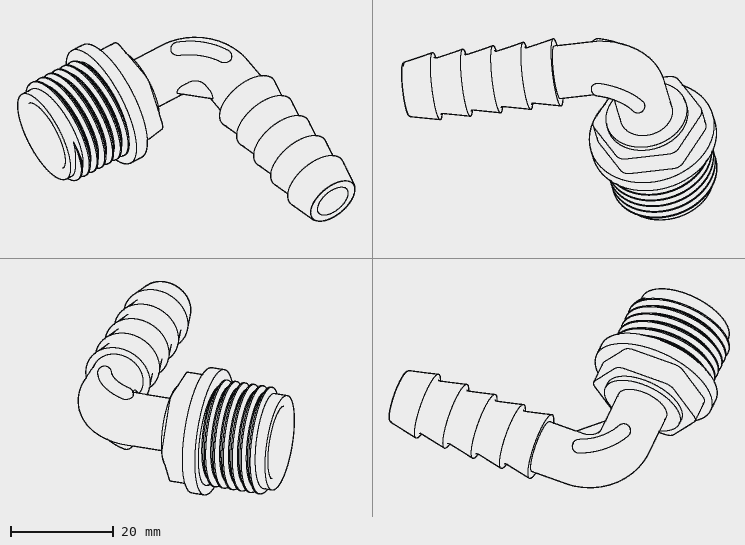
import cadquery as cq
import math


SPIGOT_RADIUS = 9.35
SPIGOT_BORE_RADIUS = 7.1
SPIGOT_BORE_ROUND = 0.5
FLANGE_DIAMETER = 24.8
FLANGE_RADIUS = FLANGE_DIAMETER / 2
FLANGE_START = 13.4
HEX_START = 15.95
COLLAR_START = 20.6
COLLAR_END = 21.65
COLLAR_RADIUS = 8.05
SPIGOT_BORE_DEPTH = COLLAR_END - (SPIGOT_RADIUS - SPIGOT_BORE_RADIUS)

HEX_ACROSS_FLATS = 19.25
HEX_CORNER_ROUND = 2.3

THREAD_CREST_RADIUS = 10.5
THREAD_PITCH = 1.8
THREAD_START = 1.9
THREAD_TURNS = 7
THREAD_BASE_WIDTH = 1.7
THREAD_CREST_WIDTH = 0.3
THREAD_ROOT_RADIUS = 9.2
RUNOUT_ANGLE = 34
RUNOUT_STEPS = 2
RUNOUT_END_SCALE = 0.05

TUBE_RADIUS = 5.2
TUBE_BORE_RADIUS = 3.6
BEND_RADIUS = 7.4
OUTLET_Y = 37.9

OVERALL_LENGTH = 56.95
OUTLET_END = OVERALL_LENGTH - FLANGE_RADIUS
BARB_COUNT = 5
BARB_PITCH = 6.0
BARB_RADIUS = 6.6
BARB_NECK_RADIUS = 5.45
BARB_CONE_LENGTH = 5.3
BARB_ROUND = 0.5
BARB_START = OUTLET_END - BARB_COUNT * BARB_PITCH

RIDGE_RADIUS = 1.35
RIDGE_ARC_RADIUS = 11.95
RIDGE_ARC_CENTRE = 11.0
RIDGE_MID_ANGLE = 135
RIDGE_HALF_ANGLE = 23
RIDGE_HEIGHT = 5.4

WEB_RADIUS = 1.0
WEB_EDGE_DISTANCE = 9.85


def y_cylinder(radius, start, end):
    """Cylinder along the inlet axis between two Y positions."""
    return cq.Workplane("XZ", origin=(0, start, 0)).circle(radius).extrude(start - end)


def bent_rod(radius):
    """Round rod that follows the tube centreline from the collar to the outlet end."""
    start_y = SPIGOT_BORE_DEPTH
    path = (
        cq.Workplane("XY")
        .moveTo(0, start_y)
        .lineTo(0, OUTLET_Y - BEND_RADIUS)
        .radiusArc((BEND_RADIUS, OUTLET_Y), BEND_RADIUS)
        .lineTo(OUTLET_END, OUTLET_Y)
    )
    return cq.Workplane("XZ", origin=(0, start_y, 0)).circle(radius).sweep(path)


def hexagon():
    corner_diameter = HEX_ACROSS_FLATS / math.cos(math.pi / 6)
    return (
        cq.Workplane("XZ", origin=(0, HEX_START, 0))
        .polygon(6, corner_diameter)
        .extrude(HEX_START - COLLAR_START)
        .edges("|Y")
        .fillet(HEX_CORNER_ROUND)
    )


def thread_section(angle, scale):
    """Thread cross-section at an angle round the Z axis; scale shrinks it towards the spigot."""
    base = THREAD_BASE_WIDTH / 2 * scale
    crest = THREAD_CREST_WIDTH / 2 * scale
    outer = SPIGOT_RADIUS + (THREAD_CREST_RADIUS - SPIGOT_RADIUS) * scale
    turn = math.radians(angle)
    plane = cq.Plane(
        origin=(0, 0, THREAD_PITCH * angle / 360),
        xDir=(math.cos(turn), math.sin(turn), 0),
        normal=(math.sin(turn), -math.cos(turn), 0),
    )
    outline = [
        (THREAD_ROOT_RADIUS, -base),
        (outer, -crest),
        (outer, crest),
        (THREAD_ROOT_RADIUS, base),
    ]
    return cq.Workplane(plane).polyline(outline).close()


def thread():
    """Helical thread with a tail that fades into the spigot at its outer end."""
    helix = cq.Wire.makeHelix(THREAD_PITCH, THREAD_PITCH * THREAD_TURNS, THREAD_ROOT_RADIUS)
    ridge = thread_section(0, 1).sweep(cq.Workplane(helix), isFrenet=True)
    tail_wires = []
    for step in range(RUNOUT_STEPS + 1):
        fraction = step / RUNOUT_STEPS
        scale = 1 - fraction * (1 - RUNOUT_END_SCALE)
        tail_wires.append(thread_section(-RUNOUT_ANGLE * fraction, scale).wire().val())
    tail = cq.Workplane(cq.Solid.makeLoft(tail_wires))
    return [
        body.rotate((0, 0, 0), (1, 0, 0), -90).translate((0, THREAD_START, 0))
        for body in (ridge, tail)
    ]


def barbs():
    """Row of tapered barbs; each neck curves up into the back face of the next barb."""
    profile = cq.Workplane("XY", origin=(0, OUTLET_Y, 0)).moveTo(BARB_START, 0)
    profile = profile.lineTo(BARB_START, BARB_RADIUS)
    for index in range(1, BARB_COUNT):
        next_start = BARB_START + index * BARB_PITCH
        profile = (
            profile.lineTo(next_start - BARB_PITCH + BARB_CONE_LENGTH, BARB_NECK_RADIUS)
            .lineTo(next_start - BARB_ROUND, BARB_NECK_RADIUS)
            .radiusArc((next_start, BARB_NECK_RADIUS + BARB_ROUND), -BARB_ROUND)
            .lineTo(next_start, BARB_RADIUS)
        )
    taper = (BARB_RADIUS - BARB_NECK_RADIUS) / BARB_CONE_LENGTH
    profile = profile.lineTo(OUTLET_END, BARB_RADIUS - taper * BARB_PITCH).lineTo(OUTLET_END, 0)
    row = profile.close().revolve(360, (0, 0, 0), (1, 0, 0))
    return row.faces(">X").edges().fillet(BARB_ROUND)


def finger_ridge(height):
    """Curved round ridge with ball ends, parallel to the bend at the given Z."""
    centre = cq.Vector(RIDGE_ARC_CENTRE, OUTLET_Y - RIDGE_ARC_CENTRE, height)

    def arc_point(angle):
        turn = math.radians(angle)
        return centre + cq.Vector(math.cos(turn), math.sin(turn), 0) * RIDGE_ARC_RADIUS

    start = arc_point(RIDGE_MID_ANGLE + RIDGE_HALF_ANGLE)
    end = arc_point(RIDGE_MID_ANGLE - RIDGE_HALF_ANGLE)
    middle = arc_point(RIDGE_MID_ANGLE)
    path = cq.Workplane(cq.Edge.makeThreePointArc(start, middle, end))
    plane = cq.Plane(origin=start, xDir=(0, 0, 1), normal=path.val().tangentAt(0))
    ridge = cq.Workplane(plane).circle(RIDGE_RADIUS).sweep(path)
    for ball_centre in (start, end):
        ridge = ridge.union(cq.Workplane(origin=ball_centre).sphere(RIDGE_RADIUS))
    return ridge


def web():
    """Diagonal web with a full-round free edge, bridging the two arms of the tube."""
    leg = WEB_EDGE_DISTANCE * math.sqrt(2)
    plate = (
        cq.Workplane("XY", origin=(0, OUTLET_Y, -WEB_RADIUS))
        .polyline([(0, 0), (leg, 0), (0, -leg)])
        .close()
        .extrude(2 * WEB_RADIUS)
    )
    edge_plane = cq.Plane(origin=(0, OUTLET_Y - leg, 0), xDir=(0, 0, 1), normal=(1, 1, 0))
    edge = cq.Workplane(edge_plane).circle(WEB_RADIUS).extrude(leg * math.sqrt(2))
    return plate.union(edge)


def spigot_bore():
    """Wide blind bore of the spigot with a rounded mouth."""
    mouth_radius = SPIGOT_BORE_RADIUS + SPIGOT_BORE_ROUND
    return (
        cq.Workplane("XY")
        .lineTo(mouth_radius, 0)
        .radiusArc((SPIGOT_BORE_RADIUS, SPIGOT_BORE_ROUND), SPIGOT_BORE_ROUND)
        .lineTo(SPIGOT_BORE_RADIUS, SPIGOT_BORE_DEPTH)
        .lineTo(0, SPIGOT_BORE_DEPTH)
        .close()
        .revolve(360, (0, 0, 0), (0, 1, 0))
    )


spigot = (
    y_cylinder(SPIGOT_RADIUS, 0, HEX_START)
    .union(y_cylinder(FLANGE_RADIUS, FLANGE_START, HEX_START))
    .union(hexagon())
    .union(y_cylinder(COLLAR_RADIUS, COLLAR_START, COLLAR_END))
)
for thread_body in thread():
    spigot = spigot.union(thread_body)

result = spigot.union(bent_rod(TUBE_RADIUS)).union(barbs())
result = result.union(web())
for ridge_height in (RIDGE_HEIGHT, -RIDGE_HEIGHT):
    result = result.union(finger_ridge(ridge_height))
result = result.cut(spigot_bore()).cut(bent_rod(TUBE_BORE_RADIUS))